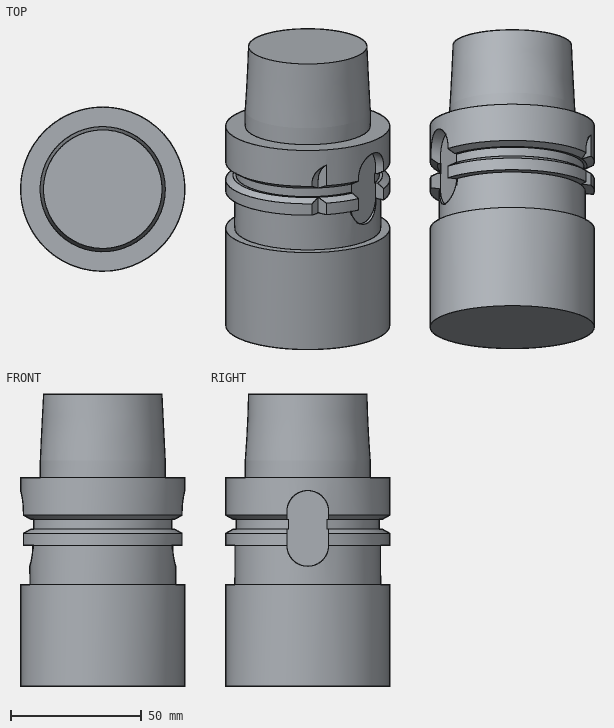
import cadquery as cq
import math

total_height = 112.0
body_top = 39.0
flange_bottom = 54.0
flange_top = 80.0
groove_middle = 62.1

body_radius = 63.0 / 2
flange_radius = body_radius
neck_radius = 56.0 / 2
groove_radius = 55.0 / 2
shank_radius = 48.0 / 2

shank_straight_height = 6.5
shank_taper = 1 / 10

groove_floor_width = 3.75
groove_mouth_width = 7.0
groove_rim_slope = math.radians(30)

slot_width = 16.0
slot_lower_center = flange_bottom
slot_upper_center = 67.0
slot_floor_distance = 26.5

notch_floor_x = -20.3
notch_wall_y = 20.2
notch_radius = slot_width / 2
notch_arc_center = slot_upper_center

cut_margin = 5.0


def make_turned_body():
    """Revolve the body, neck, flange and tapered shank in one profile."""
    taper_bottom = flange_top + shank_straight_height
    taper_height = total_height - taper_bottom
    shank_top_radius = shank_radius - taper_height * shank_taper / 2
    profile = (
        cq.Workplane("XZ")
        .lineTo(body_radius, 0)
        .lineTo(body_radius, body_top)
        .lineTo(neck_radius, body_top)
        .lineTo(neck_radius, flange_bottom)
        .lineTo(flange_radius, flange_bottom)
        .lineTo(flange_radius, flange_top)
        .lineTo(shank_radius, flange_top)
        .lineTo(shank_radius, taper_bottom)
        .lineTo(shank_top_radius, total_height)
        .lineTo(0, total_height)
        .close()
    )
    return profile.revolve(360, (0, 0), (0, 1))


def make_groove_cutter():
    """Ring that cuts the gripper groove with its sloped rims."""
    rim_height = (groove_mouth_width - groove_floor_width) / 2
    rim_radius = flange_radius - rim_height / math.tan(groove_rim_slope)
    outside = flange_radius + cut_margin
    floor_half = groove_floor_width / 2
    mouth_half = groove_mouth_width / 2
    profile = (
        cq.Workplane("XZ", origin=(0, 0, groove_middle))
        .moveTo(groove_radius, -floor_half)
        .lineTo(rim_radius, -floor_half)
        .lineTo(flange_radius, -mouth_half)
        .lineTo(outside, -mouth_half)
        .lineTo(outside, mouth_half)
        .lineTo(flange_radius, mouth_half)
        .lineTo(rim_radius, floor_half)
        .lineTo(groove_radius, floor_half)
        .close()
    )
    return profile.revolve(360, (0, 0), (0, 1))


def make_slot_cutter(side):
    """Round-ended upright slot with a flat floor; side is -1 or +1 along X."""
    slot_length = slot_upper_center - slot_lower_center + slot_width
    slot_middle = (slot_upper_center + slot_lower_center) / 2
    depth = flange_radius - slot_floor_distance + cut_margin
    return (
        cq.Workplane("YZ", origin=(side * slot_floor_distance, 0, slot_middle))
        .slot2D(slot_length, slot_width, 90)
        .extrude(side * depth)
    )


def make_notch_cutter():
    """Notch running along Y, open below the flange, with a rounded top."""
    arc_center_x = notch_floor_x - notch_radius
    outer_x = arc_center_x - notch_radius
    notch_length = flange_radius + cut_margin - notch_wall_y
    profile = (
        cq.Workplane("XZ", origin=(0, notch_wall_y, 0))
        .moveTo(notch_floor_x, flange_bottom)
        .lineTo(notch_floor_x, notch_arc_center)
        .threePointArc(
            (arc_center_x, notch_arc_center + notch_radius),
            (outer_x, notch_arc_center),
        )
        .lineTo(outer_x, flange_bottom)
        .close()
    )
    return profile.extrude(-notch_length)


result = make_turned_body().cut(make_groove_cutter())
for slot_side in (-1, 1):
    result = result.cut(make_slot_cutter(slot_side))
result = result.cut(make_notch_cutter())